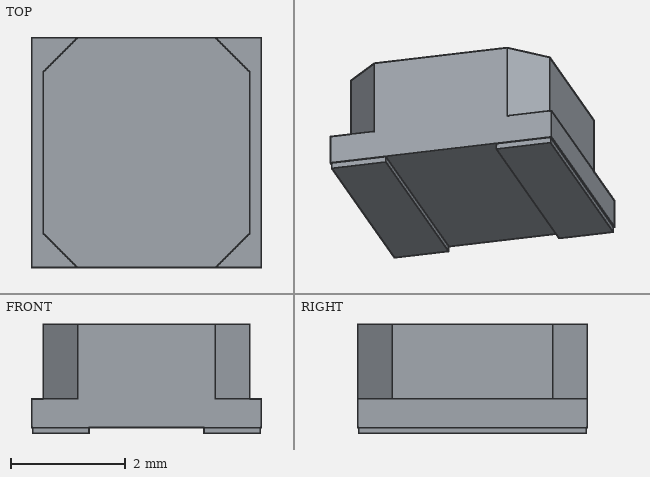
import cadquery as cq

base_side = 4
base_height = 0.5

body_width = 3.6
body_height = 1.3
corner_cut = 0.6

pad_width = 0.98
pad_height = 0.1
pad_inset = 0.02
pad_length = base_side - 2 * pad_inset
pad_offset = base_side / 2 - pad_inset - pad_width / 2


def block(width, depth, height, bottom):
    """Box centred in X and Y, standing on the height 'bottom'."""
    return cq.Workplane("XY").workplane(offset=bottom).rect(width, depth).extrude(height)


base = block(base_side, base_side, base_height, pad_height)

body = block(body_width, base_side, body_height, pad_height + base_height)
body = body.edges("|Z").chamfer(corner_cut)

result = base.union(body)
for side in (-1, 1):
    pad = block(pad_width, pad_length, pad_height, 0).translate((side * pad_offset, 0, 0))
    result = result.union(pad)